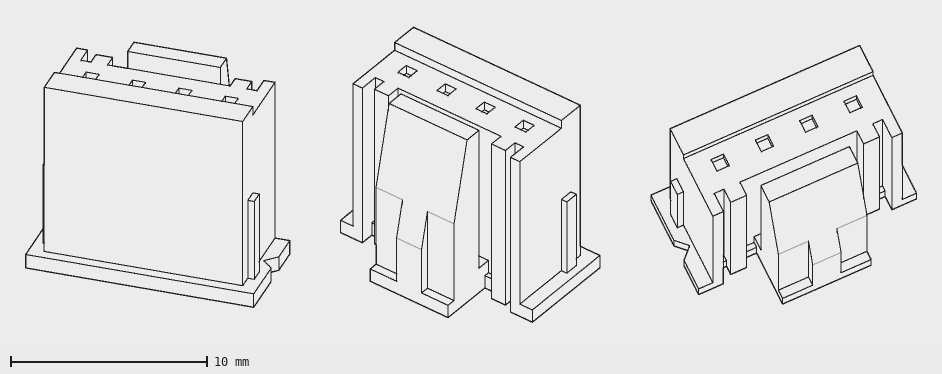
import cadquery as cq

flange_width = 12.3
flange_depth = 5.7
flange_thickness = 0.8

body_width = 10.7
body_front = 0.6
total_height = 10.5
deck_step = 0.5
deck_height = total_height - deck_step
front_wall_back = 2.2

rear_wall = 4.6
sill_rear = 4.9
post_spacing = 9.5
tab_width = 0.9
tab_center_x = 3.75
tab_rear = 5.4

rib_span = 11.4
rib_thickness = 0.8
rib_top = 5.4

latch_width = 5.0
latch_inner = tab_rear
latch_top_outer = 6.4
latch_outer = 8.0
latch_taper_start = 3.6
hinge_height = 1.6
latch_spine_width = 1.6
latch_side_recess = 0.5

contact_count = 4
contact_pitch = 2.5
contact_size = 0.7
contact_y = 3.2
contact_depth = 0.5

notch_depth = 0.6
notch_half_width = 0.6
notch_y = 3.35


def block(x_min, x_max, y_min, y_max, z_min, z_max):
    """Axis-aligned box between the given limits."""
    size = (x_max - x_min, y_max - y_min, z_max - z_min)
    return cq.Workplane("XY").box(*size, centered=False).translate((x_min, y_min, z_min))


def centered_block(center_x, width, y_min, y_max, z_min, z_max):
    """Box with its width centred on center_x."""
    return block(center_x - width / 2, center_x + width / 2, y_min, y_max, z_min, z_max)


def make_flange():
    """Base plate with a V-shaped polarity notch in its +X edge."""
    plate = centered_block(0, flange_width, 0, flange_depth, 0, flange_thickness)
    edge_x = flange_width / 2
    notch = (
        cq.Workplane("XY")
        .moveTo(edge_x, notch_y - notch_half_width)
        .lineTo(edge_x - notch_depth, notch_y)
        .lineTo(edge_x, notch_y + notch_half_width)
        .close()
        .extrude(flange_thickness)
    )
    return plate.cut(notch)


def make_body():
    """Main block with a raised front wall."""
    main = centered_block(0, body_width, body_front, flange_depth, 0, deck_height)
    front_wall = centered_block(0, body_width, body_front, front_wall_back, 0, total_height)
    return main.union(front_wall)


def make_rear_recess():
    """Volume removed between the corner posts, leaving the sill and the two tabs."""
    recess = centered_block(0, post_spacing, rear_wall, flange_depth, 0, deck_height)
    sill = centered_block(0, post_spacing, rear_wall, sill_rear, 0, flange_thickness)
    recess = recess.cut(sill)
    for side in (-1, 1):
        tab = centered_block(side * tab_center_x, tab_width, rear_wall, tab_rear, 0, deck_height)
        recess = recess.cut(tab)
    return recess


def make_side_ribs():
    """Short upright rib on each side of the body."""
    return centered_block(0, rib_span, front_wall_back - rib_thickness, front_wall_back, 0, rib_top)


def make_latch():
    """Tapered latch arm with its hinge, relieved on both sides of a central spine."""
    profile = [
        (rear_wall, 0),
        (latch_outer, 0),
        (latch_outer, latch_taper_start),
        (latch_top_outer, total_height),
        (latch_inner, total_height),
        (latch_inner, hinge_height),
        (rear_wall, hinge_height),
    ]
    arm = cq.Workplane("YZ").polyline(profile).close().extrude(latch_width / 2, both=True)
    recess_front = latch_outer - latch_side_recess
    relief = centered_block(0, latch_width, recess_front, latch_outer, flange_thickness, total_height)
    spine = centered_block(0, latch_spine_width, recess_front, latch_outer, flange_thickness, total_height)
    return arm.cut(relief.cut(spine))


def make_contact_holes():
    """Row of square blind holes in the deck."""
    holes = cq.Workplane("XY")
    y_min = contact_y - contact_size / 2
    y_max = contact_y + contact_size / 2
    for index in range(contact_count):
        x = (index - (contact_count - 1) / 2) * contact_pitch
        holes = holes.add(
            centered_block(x, contact_size, y_min, y_max, deck_height - contact_depth, deck_height)
        )
    return holes.combine()


result = (
    make_flange()
    .union(make_body())
    .cut(make_rear_recess())
    .union(make_side_ribs())
    .union(make_latch())
    .cut(make_contact_holes())
)